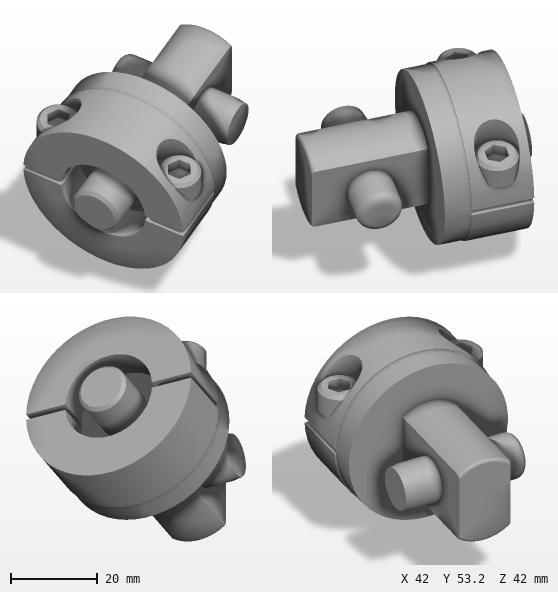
import cadquery as cq

collar_diameter = 42.0
collar_length = 14.95
bore_diameter = 22.1
slit_width = 1.5

flange_diameter = 41.4
flange_length = 6.4

tang_diameter = bore_diameter
plug_length = 6.3
tang_width = 13.3
tang_length = 27.8
edge_size = 0.8

pilot_diameter = 12.0
pilot_projection = 4.05

cross_pin_diameter = 11.1
cross_pin_length = 31.8
cross_pin_y = 20.25
cross_pin_end_length = 2.3
cross_pin_end_taper = 0.35

screw_spacing = 31.7
screw_y = -collar_length / 2
head_diameter = 10.1
head_top = 12.35
head_seat = 6.3
counterbore_diameter = 10.55
shank_diameter = 6.1
hex_across_corners = 5.9
hex_depth = 3.0


def cylinder_along_y(diameter, y_start, y_end):
    """Solid cylinder on the main axis between two Y positions."""
    plane = cq.Plane(origin=(0, y_start, 0), xDir=(1, 0, 0), normal=(0, 1, 0))
    return cq.Workplane(plane).circle(diameter / 2).extrude(y_end - y_start)


def cylinder_along_z(diameter, x, z_start, z_end):
    """Solid cylinder on a screw axis between two Z positions."""
    base = cq.Workplane("XY", origin=(x, screw_y, z_start))
    return base.circle(diameter / 2).extrude(z_end - z_start)


def make_collar():
    """Bored ring, split across its full width by a horizontal slit."""
    collar = cylinder_along_y(collar_diameter, -collar_length, 0)
    bore = cylinder_along_y(bore_diameter, -collar_length, 0)
    slit = cq.Workplane("XY").box(collar_diameter, collar_length, slit_width)
    return collar.cut(bore).cut(slit.translate((0, -collar_length / 2, 0)))


def make_tang():
    """Round bar with two flats and a rounded free end."""
    end_y = flange_length + tang_length
    bar = cylinder_along_y(tang_diameter, 0, end_y).faces(">Y").edges().fillet(edge_size)
    flats = cq.Workplane("XY").box(tang_width, 2 * end_y, tang_diameter)
    return bar.intersect(flats)


def make_pilot():
    """Chamfered central pin running from the flange out past the collar."""
    pilot = cylinder_along_y(pilot_diameter, -collar_length - pilot_projection, 0)
    return pilot.faces("<Y").chamfer(edge_size)


def make_cross_pin():
    """Pin through the tang, rounded at the -X end and tapered at the +X end."""
    half_length = cross_pin_length / 2
    radius = cross_pin_diameter / 2
    profile = (
        cq.Workplane("XY", origin=(0, cross_pin_y, 0))
        .moveTo(-half_length, 0)
        .lineTo(-half_length, radius)
        .lineTo(half_length - cross_pin_end_length, radius)
        .lineTo(half_length, radius - cross_pin_end_taper)
        .lineTo(half_length, 0)
        .close()
    )
    pin = profile.revolve(360, (0, 0, 0), (1, 0, 0))
    return pin.faces("<X").edges().fillet(cross_pin_end_length)


def make_screw(x):
    """Socket head screw whose shank spans the slit."""
    head = cylinder_along_z(head_diameter, x, head_seat, head_top).faces(">Z").chamfer(edge_size)
    socket = cq.Workplane("XY", origin=(x, screw_y, head_top - hex_depth))
    head = head.cut(socket.polygon(6, hex_across_corners).extrude(hex_depth))
    return head.union(cylinder_along_z(shank_diameter, x, -slit_width, head_seat))


body = make_collar()
body = body.union(cylinder_along_y(flange_diameter, 0, flange_length))
body = body.union(cylinder_along_y(bore_diameter, -plug_length, 0))
body = body.union(make_tang()).union(make_pilot()).union(make_cross_pin())

for screw_x in (-screw_spacing / 2, screw_spacing / 2):
    body = body.cut(cylinder_along_z(counterbore_diameter, screw_x, head_seat, collar_diameter / 2))
    body = body.union(make_screw(screw_x))

result = body